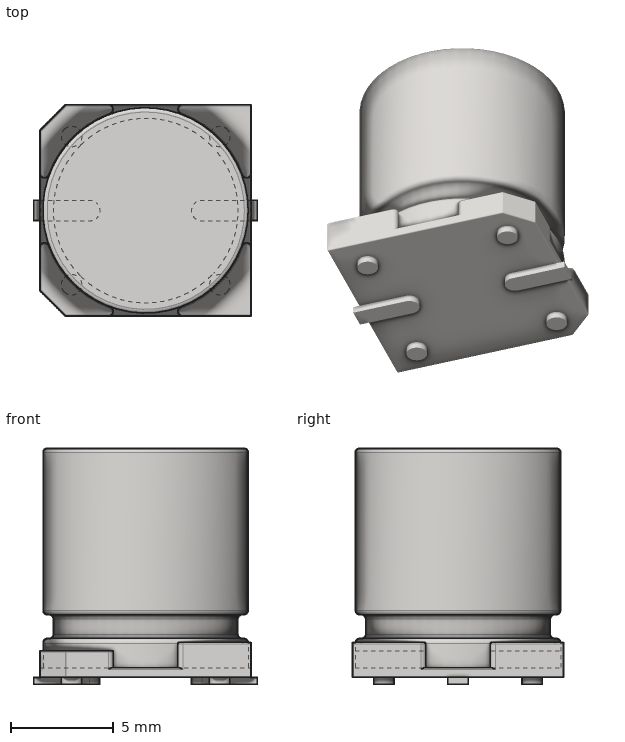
import cadquery as cq
import math

total_height = 11.5

lead_height = 0.35
lead_width = 1.0
lead_outer_x = 5.45
lead_inner_x = 2.23
foot_diameter = 1.0
foot_offset = 3.61

base_width = 10.3
base_chamfer = 1.25
edge_fillet = 0.06
floor_z = 0.8
low_post_z = 1.65
high_post_z = 2.05
post_tip_radius = 0.23

can_radius = 10.0 / 2
neck_radius = 9.0 / 2
rim_fillet = 0.2
groove_low_z = 2.24
groove_high_z = 3.39
groove_lip_fillet = 0.23
groove_root_fillet = 0.2

post_clearance = 0.01
pocket_radius = can_radius + post_clearance

half_base = base_width / 2
diagonal = math.sqrt(0.5)


def base_plate():
    plate = cq.Workplane("XY").box(
        base_width, base_width, floor_z - lead_height, centered=(True, True, False)
    )
    plate = plate.edges("|Z and <X").chamfer(base_chamfer)
    return plate.edges().fillet(edge_fillet).translate((0, 0, lead_height))


def corner_post(side_x, side_y, top_z):
    """Post on the corner given by the signs, chamfered on the -X side."""
    centre_out = half_base - post_tip_radius
    centre_along = math.sqrt((pocket_radius + post_tip_radius) ** 2 - centre_out**2)
    touch = pocket_radius / (pocket_radius + post_tip_radius)
    touch_along = centre_along * touch
    touch_out = centre_out * touch
    tip_along = centre_along - post_tip_radius
    pocket_mid = pocket_radius * diagonal

    def at(x, y):
        return (side_x * x, side_y * y)

    outline = cq.Workplane("XY").moveTo(*at(centre_along, half_base))
    if side_x < 0:
        outline = outline.lineTo(*at(half_base - base_chamfer, half_base))
        outline = outline.lineTo(*at(half_base, half_base - base_chamfer))
    else:
        outline = outline.lineTo(*at(half_base, half_base))
    outline = (
        outline.lineTo(*at(half_base, centre_along))
        .threePointArc(at(centre_out, tip_along), at(touch_out, touch_along))
        .threePointArc(at(pocket_mid, pocket_mid), at(touch_along, touch_out))
        .threePointArc(at(tip_along, centre_out), at(centre_along, half_base))
        .close()
    )
    foot_z = lead_height + edge_fillet
    post = outline.extrude(top_z - foot_z)
    inner_limit = half_base - 2 * base_chamfer
    outer_limit = half_base + base_chamfer
    outer_corner = cq.selectors.BoxSelector(
        (*at(inner_limit, inner_limit), 0), (*at(outer_limit, outer_limit), top_z)
    )
    post = post.edges("|Z").edges(outer_corner).fillet(edge_fillet)
    return post.faces(">Z").edges().fillet(edge_fillet).translate((0, 0, foot_z))


def round_to(profile, centre, radius, direction, end):
    """Add a quarter arc bulging from its centre towards direction (sign x, sign z)."""
    reach = radius * diagonal
    middle = (centre[0] + direction[0] * reach, centre[1] + direction[1] * reach)
    return profile.threePointArc(middle, end)


def can():
    lip_r = can_radius - groove_lip_fillet
    root_r = neck_radius + groove_root_fillet
    rim_r = can_radius - rim_fillet
    lower_lip_z = groove_low_z - groove_lip_fillet
    lower_root_z = groove_low_z + groove_root_fillet
    upper_root_z = groove_high_z - groove_root_fillet
    upper_lip_z = groove_high_z + groove_lip_fillet
    rim_z = total_height - rim_fillet

    half = cq.Workplane("XZ").moveTo(0, floor_z).lineTo(can_radius, floor_z)

    half = half.lineTo(can_radius, lower_lip_z)
    half = round_to(half, (lip_r, lower_lip_z), groove_lip_fillet, (1, 1), (lip_r, groove_low_z))
    half = half.lineTo(root_r, groove_low_z)
    half = round_to(half, (root_r, lower_root_z), groove_root_fillet, (-1, -1), (neck_radius, lower_root_z))

    half = half.lineTo(neck_radius, upper_root_z)
    half = round_to(half, (root_r, upper_root_z), groove_root_fillet, (-1, 1), (root_r, groove_high_z))
    half = half.lineTo(lip_r, groove_high_z)
    half = round_to(half, (lip_r, upper_lip_z), groove_lip_fillet, (1, -1), (can_radius, upper_lip_z))

    half = half.lineTo(can_radius, rim_z)
    half = round_to(half, (rim_r, rim_z), rim_fillet, (1, 1), (rim_r, total_height))
    half = half.lineTo(0, total_height).close()
    return half.revolve(360, (0, 0, 0), (0, 1, 0))


def lead(side_x):
    """Flat lead with a full-round inner end, reaching out past the base."""
    end_radius = lead_width / 2
    round_x = lead_inner_x + end_radius
    return (
        cq.Workplane("XY")
        .moveTo(side_x * lead_outer_x, -end_radius)
        .lineTo(side_x * round_x, -end_radius)
        .threePointArc((side_x * lead_inner_x, 0), (side_x * round_x, end_radius))
        .lineTo(side_x * lead_outer_x, end_radius)
        .close()
        .extrude(lead_height)
    )


def feet():
    return (
        cq.Workplane("XY")
        .rect(2 * foot_offset, 2 * foot_offset, forConstruction=True)
        .vertices()
        .circle(foot_diameter / 2)
        .extrude(lead_height)
    )


result = base_plate()
for side_x, top_z in ((-1, low_post_z), (1, high_post_z)):
    for side_y in (-1, 1):
        result = result.union(corner_post(side_x, side_y, top_z))
    result = result.union(lead(side_x))
result = result.union(feet()).union(can())